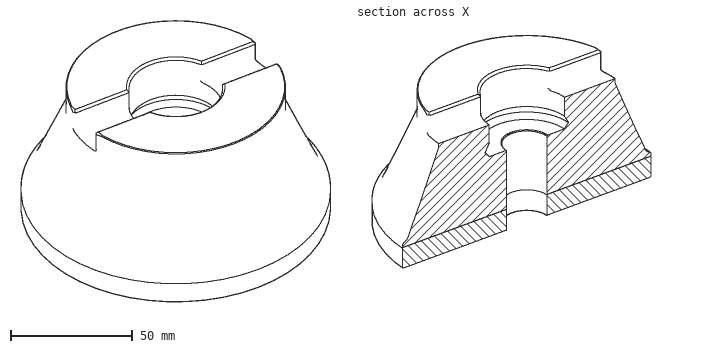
import cadquery as cq
import math

OUTER_RADIUS = 63.5
TOTAL_HEIGHT = 63.0
SPLIT_HEIGHT = 9.8

RIM_BAND_TOP = 11.7
RIM_FILLET = 1.4
BASE_FILLET = 0.9

CONE_FOOT_RADIUS = 61.1
CONE_FOOT_HEIGHT = 13.0
HUB_RADIUS = 90.0 / 2
HUB_FOOT_HEIGHT = 51.0
HUB_CHAMFER = 0.4
CONE_FOOT_FILLET = 3.0
HUB_FOOT_FILLET = 2.5

SLOT_WIDTH = 15.9
SLOT_DEPTH = 10.0
SLOT_CHAMFER = 1.0
SLOT_FILLET = 0.9
CORNER_ROUND = 1.0
MOUTH_BEVEL = 1.0
SLOT_FLOOR = TOTAL_HEIGHT - SLOT_DEPTH

BORE_RADIUS = 38.1 / 2
BORE_MOUTH_RADIUS = 38.4 / 2
BORE_CHAMFER = 1.0
TAPER_START = SLOT_FLOOR - 0.3
TAPER_END = TAPER_START - 1.0
BORE_FLOOR = 38.0

GROOVE_RADIUS = 21.2
GROOVE_TOP = 44.1
GROOVE_ROOT = 40.3

HOLE_RADIUS = 20.5 / 2
HOLE_CHAMFER = 0.4

SLACK = 1.3
TOLERANCE = 0.01


def revolve_profile(points):
    """Turn a closed (radius, height) outline about the Z axis."""
    return cq.Workplane("XZ").polyline(points).close().revolve(360, (0, 0, 0), (0, 1, 0))


def circle_edges(shape, radius, height):
    """Full circles around the Z axis with the given radius and height."""

    def matches(edge):
        return (
            edge.geomType() == "CIRCLE"
            and abs(edge.radius() - radius) < TOLERANCE
            and abs(edge.Center().z - height) < TOLERANCE
        )

    return shape.edges().filter(matches)


def make_blank():
    """Cone with a cylindrical hub on top and a rounded rim at the foot."""
    blank = revolve_profile([
        (0, SPLIT_HEIGHT),
        (OUTER_RADIUS, SPLIT_HEIGHT),
        (OUTER_RADIUS, RIM_BAND_TOP),
        (CONE_FOOT_RADIUS, CONE_FOOT_HEIGHT),
        (HUB_RADIUS, HUB_FOOT_HEIGHT),
        (HUB_RADIUS, TOTAL_HEIGHT - HUB_CHAMFER),
        (HUB_RADIUS - HUB_CHAMFER, TOTAL_HEIGHT),
        (0, TOTAL_HEIGHT),
    ])
    blank = circle_edges(blank, OUTER_RADIUS, RIM_BAND_TOP).fillet(RIM_FILLET)
    blank = circle_edges(blank, CONE_FOOT_RADIUS, CONE_FOOT_HEIGHT).fillet(CONE_FOOT_FILLET)
    return circle_edges(blank, HUB_RADIUS, HUB_FOOT_HEIGHT).fillet(HUB_FOOT_FILLET)


def make_bore():
    """Bore with its mouth chamfer, its taper, the undercut groove and the screw hole."""
    return revolve_profile([
        (0, SPLIT_HEIGHT - SLACK),
        (HOLE_RADIUS, SPLIT_HEIGHT - SLACK),
        (HOLE_RADIUS, BORE_FLOOR - HOLE_CHAMFER),
        (HOLE_RADIUS + HOLE_CHAMFER, BORE_FLOOR),
        (BORE_RADIUS, BORE_FLOOR),
        (GROOVE_RADIUS, GROOVE_ROOT),
        (BORE_RADIUS, GROOVE_TOP),
        (BORE_RADIUS, TAPER_END),
        (BORE_MOUTH_RADIUS, TAPER_START),
        (BORE_MOUTH_RADIUS, TOTAL_HEIGHT - BORE_CHAMFER),
        (BORE_MOUTH_RADIUS + BORE_CHAMFER, TOTAL_HEIGHT),
        (0, TOTAL_HEIGHT),
    ])


def make_slot_end():
    """The +Y half of the slot, flared by rounded corners toward the bore and the hub surface."""
    half = SLOT_WIDTH / 2
    center_x = half + CORNER_ROUND
    bore_center_y = math.sqrt((BORE_MOUTH_RADIUS + CORNER_ROUND) ** 2 - center_x**2)
    hub_center_y = math.sqrt((HUB_RADIUS - CORNER_ROUND) ** 2 - center_x**2)

    def arc_point(center_y, angle):
        return (
            center_x + CORNER_ROUND * math.cos(angle),
            center_y + CORNER_ROUND * math.sin(angle),
        )

    bore_angle = math.atan2(-bore_center_y, -center_x) + 2 * math.pi
    hub_angle = math.atan2(hub_center_y, center_x)
    bore_end = arc_point(bore_center_y, bore_angle)
    bore_middle = arc_point(bore_center_y, (bore_angle + math.pi) / 2)
    hub_middle = arc_point(hub_center_y, (hub_angle + math.pi) / 2)
    hub_end = arc_point(hub_center_y, hub_angle)
    outside_y = HUB_RADIUS + SLACK

    def mirrored(point):
        return (-point[0], point[1])

    return (
        cq.Workplane("XY", origin=(0, 0, SLOT_FLOOR))
        .moveTo(0, 0)
        .lineTo(bore_end[0], 0)
        .lineTo(*bore_end)
        .threePointArc(bore_middle, (half, bore_center_y))
        .lineTo(half, hub_center_y)
        .threePointArc(hub_middle, hub_end)
        .lineTo(hub_end[0], outside_y)
        .lineTo(-hub_end[0], outside_y)
        .lineTo(*mirrored(hub_end))
        .threePointArc(mirrored(hub_middle), (-half, hub_center_y))
        .lineTo(-half, bore_center_y)
        .threePointArc(mirrored(bore_middle), mirrored(bore_end))
        .lineTo(-bore_end[0], 0)
        .close()
        .extrude(SLOT_DEPTH)
        .faces("<Z")
        .edges("|Y")
        .filter(lambda edge: math.isclose(abs(edge.Center().x), half, abs_tol=TOLERANCE))
        .fillet(SLOT_FILLET)
    )


def make_slot_bevel():
    """Tapered bar along Y that chamfers the upper edges of the slot walls."""
    half = SLOT_WIDTH / 2
    length = 2 * (HUB_RADIUS + SLACK)
    return (
        cq.Workplane("XZ", origin=(0, length / 2, 0))
        .polyline([
            (-half - SLOT_CHAMFER, TOTAL_HEIGHT),
            (-half, TOTAL_HEIGHT - SLOT_CHAMFER),
            (half, TOTAL_HEIGHT - SLOT_CHAMFER),
            (half + SLOT_CHAMFER, TOTAL_HEIGHT),
        ])
        .close()
        .extrude(length)
    )


def make_mouth_bevel():
    """Flat 45 degree cut across the top of the hub at the +Y mouth of the slot."""
    corner_x = SLOT_WIDTH / 2 + SLOT_CHAMFER
    lower_y = math.sqrt(HUB_RADIUS**2 - corner_x**2)
    reach = MOUTH_BEVEL + SLACK
    return (
        cq.Workplane("YZ")
        .polyline([
            (lower_y - MOUTH_BEVEL - SLACK, TOTAL_HEIGHT + SLACK),
            (lower_y + SLACK, TOTAL_HEIGHT - reach),
            (lower_y + SLACK, TOTAL_HEIGHT + SLACK),
        ])
        .close()
        .extrude(HUB_RADIUS, both=True)
    )


def make_body():
    body = make_blank().cut(make_bore()).cut(make_slot_bevel())
    for turn in (0, 180):
        for cutter in (make_slot_end(), make_mouth_bevel()):
            body = body.cut(cutter.rotate((0, 0, 0), (0, 0, 1), turn))
    return body


def make_base_disc():
    disc = cq.Workplane("XY").circle(OUTER_RADIUS).circle(HOLE_RADIUS).extrude(SPLIT_HEIGHT)
    return circle_edges(disc, OUTER_RADIUS, 0).fillet(BASE_FILLET)


body = make_body()
base_disc = make_base_disc()

result = cq.Compound.makeCompound([body.val(), base_disc.val()])